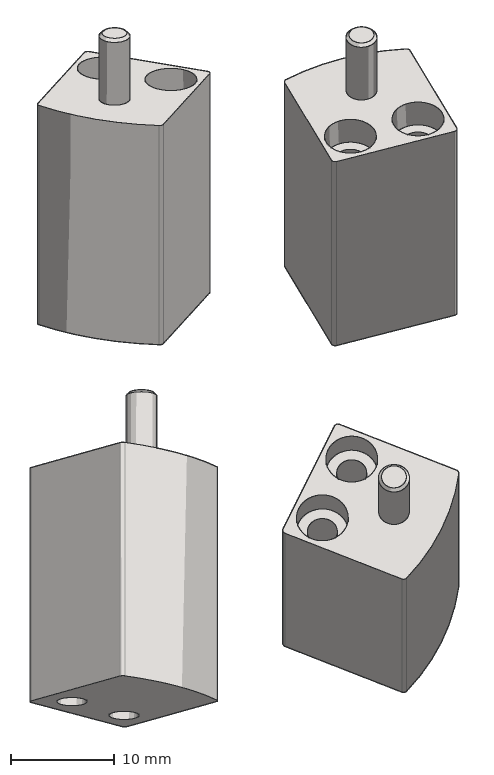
import cadquery as cq

width = 13.0
depth = 14.0
height = 23.4
front_bulge = 1.0
corner_radius = 0.4

hole_spacing = 7.0
hole_back_distance = 3.0
hole_diameter = 2.9
counterbore_diameter = 5.0
counterbore_depth = 2.9

pin_diameter = 3.0
pin_length = 7.0
pin_front_distance = 5.0
pin_chamfer = 0.3

front_y = -pin_front_distance
back_y = front_y + depth
front_corner_y = front_y + front_bulge
hole_y = back_y - hole_back_distance


def make_housing():
    """Block with an arched front, rounded upright edges and two counterbored holes."""
    block = (
        cq.Workplane("XY")
        .moveTo(-width / 2, back_y)
        .lineTo(-width / 2, front_corner_y)
        .threePointArc((0, front_y), (width / 2, front_corner_y))
        .lineTo(width / 2, back_y)
        .close()
        .extrude(height)
        .edges("|Z")
        .fillet(corner_radius)
    )
    return (
        block.faces(">Z")
        .workplane(origin=(0, 0, height))
        .pushPoints([(side * hole_spacing / 2, hole_y) for side in (-1, 1)])
        .cboreHole(hole_diameter, counterbore_diameter, counterbore_depth)
    )


def make_pin():
    """Round pin with a chamfered tip, seated on the top face of the housing."""
    return (
        cq.Workplane("XY", origin=(0, 0, height))
        .circle(pin_diameter / 2)
        .extrude(pin_length)
        .faces(">Z")
        .chamfer(pin_chamfer)
    )


housing = make_housing()
pin = make_pin()

result = cq.Compound.makeCompound([housing.val(), pin.val()])